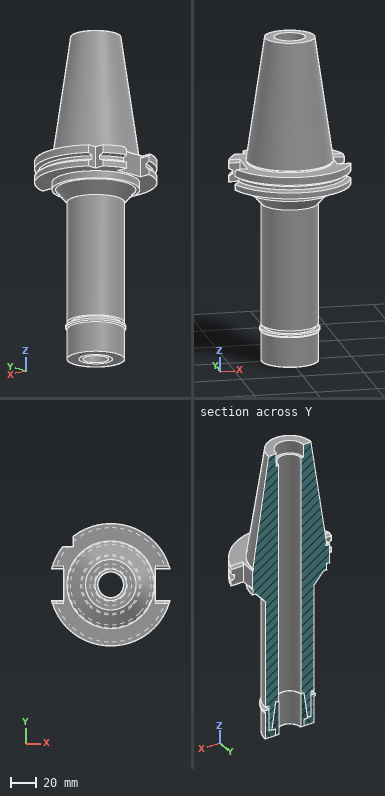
import cadquery as cq
import math

total_length = 266.8
taper_length = 101.5
taper_bottom_z = total_length - taper_length
flange_top_z = 163.8
flange_bottom_z = 146.2
collar_bottom_z = 140.3
cone_bottom_z = 130.0
shank_bottom_z = 30.1

taper_large_radius = 35.0
taper_ratio = 7 / 24
taper_small_radius = taper_large_radius - taper_length * taper_ratio / 2
relief_radius = 34.1

flange_radius = 48.8
groove_floor_radius = 45.5
lower_rim_height = 4.8
upper_rim_height = 6.5
groove_side_angle = 30
groove_bottom_z = flange_bottom_z + lower_rim_height
groove_top_z = flange_top_z - upper_rim_height
groove_side_rise = (flange_radius - groove_floor_radius) * math.tan(math.radians(groove_side_angle))

slot_width = 25.3
slot_chamfer = 2.1
left_slot_floor_x = -37.5
right_slot_floor_x = 35.5

notch_x = -30.0
notch_y = 30.5

collar_radius = 35.0
cone_top_radius = 32.0
shank_radius = 23.0
nose_radius = 20.0

counterbore_radius = 12.5
counterbore_depth = 11.7
holder_bore_radius = 10.5

nut_floor_thickness = 6.7
nut_top_z = 27.2
nut_lip_radius = 24.0
nut_lip_height = 1.5

collet_bore_radius = 10.1
collet_neck_radius = 13.3
collet_large_radius = 16.5
collet_small_radius = 13.0
collet_half_angle = 8
collet_cone_length = (collet_large_radius - collet_small_radius) / math.tan(math.radians(collet_half_angle))
collet_top_z = nut_floor_thickness + collet_cone_length


def revolve_profile(points):
    """Turn a closed (radius, z) outline about the Z axis."""
    return cq.Workplane("XZ").polyline(points).close().revolve(360, (0, 0), (0, 1))


def turned_holder():
    """Holder as turned, bored through and with the collet seat."""
    return revolve_profile([
        (counterbore_radius, total_length),
        (taper_small_radius, total_length),
        (taper_large_radius, taper_bottom_z),
        (relief_radius, taper_bottom_z),
        (relief_radius, flange_top_z),
        (flange_radius, flange_top_z),
        (flange_radius, groove_top_z),
        (groove_floor_radius, groove_top_z - groove_side_rise),
        (groove_floor_radius, groove_bottom_z + groove_side_rise),
        (flange_radius, groove_bottom_z),
        (flange_radius, flange_bottom_z),
        (collar_radius, flange_bottom_z),
        (collar_radius, collar_bottom_z),
        (cone_top_radius, collar_bottom_z),
        (shank_radius, cone_bottom_z),
        (shank_radius, shank_bottom_z),
        (nose_radius, shank_bottom_z),
        (nose_radius, nut_floor_thickness),
        (collet_large_radius, nut_floor_thickness),
        (collet_small_radius, collet_top_z),
        (holder_bore_radius, collet_top_z),
        (holder_bore_radius, total_length - counterbore_depth),
        (counterbore_radius, total_length - counterbore_depth),
    ])


def drive_slot(floor_x):
    """Cutter for one drive slot, running outward from its floor, with chamfered top edges."""
    outward = math.copysign(flange_radius, floor_x)
    half_width = slot_width / 2
    wide_half = half_width + slot_chamfer
    chamfer_z = flange_top_z - slot_chamfer
    outline = [
        (-half_width, flange_bottom_z),
        (half_width, flange_bottom_z),
        (half_width, chamfer_z),
        (wide_half, flange_top_z),
        (-wide_half, flange_top_z),
        (-half_width, chamfer_z),
    ]
    return cq.Workplane("YZ", origin=(floor_x, 0, 0)).polyline(outline).close().extrude(outward)


def corner_notch():
    """Cutter for the square notch through the flange rim."""
    return cq.Workplane("XY").box(
        flange_radius, flange_radius, flange_top_z - flange_bottom_z, centered=False
    ).translate((notch_x - flange_radius, notch_y, flange_bottom_z))


def make_holder():
    body = turned_holder()
    for floor_x in (left_slot_floor_x, right_slot_floor_x):
        body = body.cut(drive_slot(floor_x))
    return body.cut(corner_notch())


def make_nut():
    """Cup screwed over the nose, with a lip chamfered underneath and an opening for the collet."""
    lip_bottom_z = nut_top_z - nut_lip_height
    lip_taper_bottom_z = lip_bottom_z - (nut_lip_radius - shank_radius)
    return revolve_profile([
        (collet_neck_radius, 0),
        (shank_radius, 0),
        (shank_radius, lip_taper_bottom_z),
        (nut_lip_radius, lip_bottom_z),
        (nut_lip_radius, nut_top_z),
        (nose_radius, nut_top_z),
        (nose_radius, nut_floor_thickness),
        (collet_neck_radius, nut_floor_thickness),
    ])


def make_collet():
    return revolve_profile([
        (collet_bore_radius, 0),
        (collet_neck_radius, 0),
        (collet_neck_radius, nut_floor_thickness),
        (collet_large_radius, nut_floor_thickness),
        (collet_small_radius, collet_top_z),
        (collet_bore_radius, collet_top_z),
    ])


holder = make_holder()
nut = make_nut()
collet = make_collet()

result = cq.Compound.makeCompound([holder.val(), nut.val(), collet.val()])